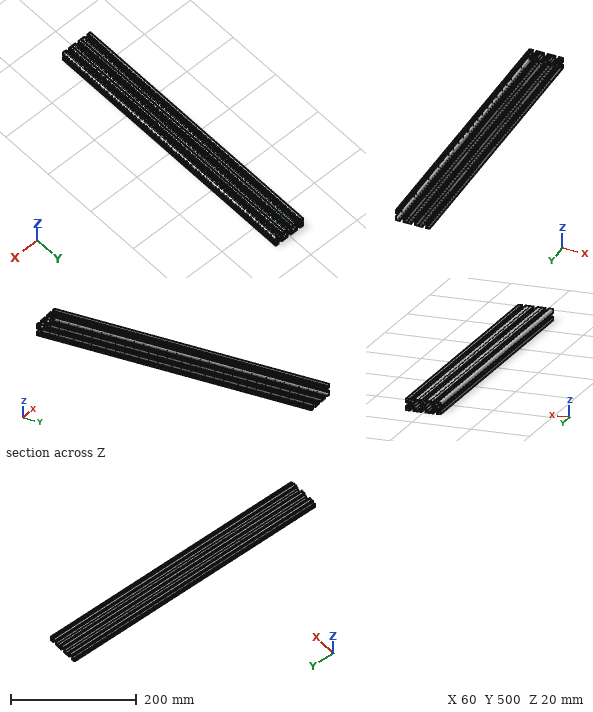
import cadquery as cq
import math

module = 20.0
cell_count = 3
width = cell_count * module
height = module
length = 500.0

corner_radius = 1.5
half_opening = 3.1
pocket_width = 12.0
lip_thickness = 1.8
core_size = 8.0
bore_diameter = 4.2
web_thickness = 1.5
roof_thickness = 1.5

half_module = module / 2
half_core = core_size / 2
half_pocket = pocket_width / 2
lip_underside = half_module - lip_thickness
chamber_roof = half_module - roof_thickness
web_offset = web_thickness / 2 * math.sqrt(2)

cell_centres = [(i - (cell_count - 1) / 2) * module for i in range(cell_count)]
chamber_centres = [(a + b) / 2 for a, b in zip(cell_centres, cell_centres[1:])]


def extruded(outline):
    """Turn an XZ sketch into a full-length bar centred on the origin."""
    return outline.extrude(length / 2, both=True)


def bar_blank():
    blank = extruded(cq.Workplane("XZ").rect(width, height))
    return blank.edges("|Y").fillet(corner_radius)


def t_slot(cell_x, turn):
    """T-slot opening upward from a cell, turned about the bore axis by the given angle."""
    half_floor = half_core - web_offset
    right_side = [
        (half_floor, half_core),
        (half_pocket, half_pocket + web_offset),
        (half_pocket, lip_underside),
        (half_opening, lip_underside),
        (half_opening, half_module),
    ]
    left_side = [(-x, z) for x, z in reversed(right_side)]
    slot = extruded(cq.Workplane("XZ").polyline(right_side + left_side).close())
    return slot.rotate((0, 0, 0), (0, 1, 0), turn).translate((cell_x, 0, 0))


def chamber(centre_x):
    """Eight-sided cavity between two cells, bounded by their cores, webs and outer walls."""
    half_width = half_module - half_core
    diagonal_reach = half_module - web_offset
    side_top = diagonal_reach - half_width
    half_roof = diagonal_reach - chamber_roof
    upper = [
        (half_width, side_top),
        (half_roof, chamber_roof),
        (-half_roof, chamber_roof),
        (-half_width, side_top),
    ]
    lower = [(x, -z) for x, z in reversed(upper)]
    cavity = extruded(cq.Workplane("XZ").polyline(upper + lower).close())
    return cavity.translate((centre_x, 0, 0))


def bore(cell_x):
    return extruded(cq.Workplane("XZ").center(cell_x, 0).circle(bore_diameter / 2))


result = bar_blank()

for cell_x in cell_centres:
    result = result.cut(bore(cell_x))
    for turn in (0, 180):
        result = result.cut(t_slot(cell_x, turn))

result = result.cut(t_slot(cell_centres[0], -90))
result = result.cut(t_slot(cell_centres[-1], 90))

for centre_x in chamber_centres:
    result = result.cut(chamber(centre_x))